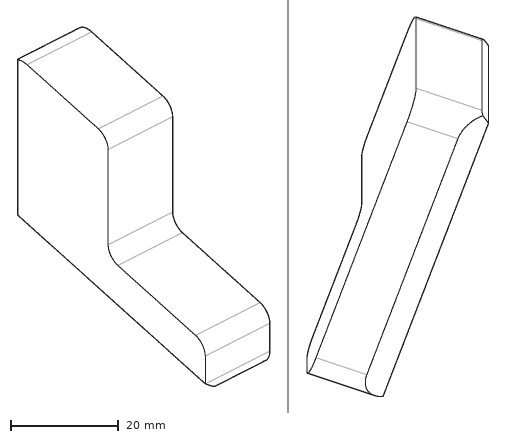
import cadquery as cq

length = 60.0
depth = 15.0
height = 45.0

upright_length = length / 2
foot_height = height / 3

outer_radius = 5.0
small_radius = 3.0

side_bevel = 2.05
bottom_bevel = 5.0


def round_edge(body, x, z, radius):
    """Round the edge that runs along Y at (x, z)."""
    edge = cq.selectors.NearestToPointSelector((x, depth / 2, z))
    return body.edges("|Y").edges(edge).fillet(radius)


def bevel_cutter(plane, size, span):
    """Triangular prism with its right angle on the block's front edge."""
    return cq.Workplane(plane).polyline([(0, 0), (size, 0), (0, size)]).close().extrude(span)


body = (
    cq.Workplane("XZ")
    .polyline([
        (0, 0),
        (length, 0),
        (length, foot_height),
        (upright_length, foot_height),
        (upright_length, height),
        (0, height),
    ])
    .close()
    .extrude(-depth)
)

for x, z in [(0, 0), (length, 0), (0, height)]:
    body = round_edge(body, x, z, outer_radius)

for x, z in [(length, foot_height), (upright_length, foot_height), (upright_length, height)]:
    body = round_edge(body, x, z, small_radius)

body = body.cut(bevel_cutter("XY", side_bevel, height))
result = body.cut(bevel_cutter("YZ", bottom_bevel, length))